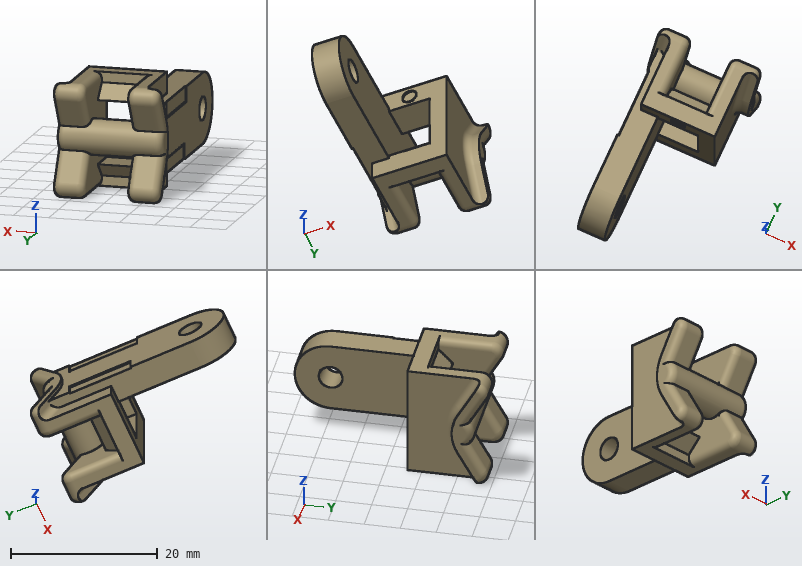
import cadquery as cq
import math


total_width = 15.0
total_length = 28.9
total_height = 16.0

body_width = 11.0
channel_width = 6.0
tip_y = 4.4
body_depth = 11.45
base_thickness = 2.5
window_height = 9.0
axle_diameter = 5.0

flange_slope = math.radians(30)
flange_thickness = 2.0
bend_radius = 6.0
tip_radius = 1.5
edge_radius = 1.0

arm_left = -7.0
arm_right = -channel_width / 2
arm_height = 10.0
arm_hole_diameter = 3.3
arm_root_radius = 0.5

recess_depth = 0.17
label_start = 5.87
label_height = 2.17
upper_label_length = 10.1
lower_label_length = 9.1
mark_diameter = 2.08
mark_z = 6.25

half_width = total_width / 2
half_height = total_height / 2
half_body = body_width / 2
half_channel = channel_width / 2
half_window = window_height / 2
axle_radius = axle_diameter / 2
body_rear = tip_y - body_depth
base_front = body_rear + base_thickness
half_arm = arm_height / 2
arm_hole_y = tip_y - total_length + half_arm
slope = math.tan(flange_slope)

corner_y = tip_y + tip_radius * (1 / slope - 1)
front_vertex_y = corner_y - half_height * slope
back_vertex_y = front_vertex_y - flange_thickness / math.cos(flange_slope)


def back_y(z):
    """Y of the straight back of the flange at height z."""
    return back_vertex_y + abs(z) * slope


def box(x_range, y_range, z_range):
    """Axis-aligned box between pairs of limits."""
    (x0, x1), (y0, y1), (z0, z1) = x_range, y_range, z_range
    return cq.Workplane("XY").box(x1 - x0, y1 - y0, z1 - z0, centered=False).translate((x0, y0, z0))


def axle_bar(x0, x1):
    """Cylinder on the axle line between two X positions."""
    return cq.Workplane("YZ").workplane(offset=x0).circle(axle_radius).extrude(x1 - x0)


def wall():
    """+X wall at full flange width: V front, rounded tips, axle boss and rounded rim."""
    thickness = half_width - half_channel
    outline = (
        cq.Workplane("YZ").workplane(offset=half_channel)
        .polyline([
            (base_front, -half_height), (corner_y, -half_height), (front_vertex_y, 0),
            (corner_y, half_height), (base_front, half_height),
        ])
        .close().extrude(thickness)
        .edges("|X and >Y").fillet(tip_radius)
    )
    solid = outline.union(axle_bar(half_channel, half_width))
    return solid.faces("<X or >X").edges("not(<Y)").fillet(edge_radius)


def side_relief():
    """Space beside the +X wall behind its flange; its rounded edge leaves the inner fillet."""
    reach = half_height + bend_radius
    behind = body_rear - edge_radius
    margin = 0.3
    block = (
        cq.Workplane("YZ").workplane(offset=half_body)
        .polyline([
            (behind, -reach), (back_y(reach), -reach), (back_vertex_y, 0),
            (back_y(reach), reach), (behind, reach),
        ])
        .close().extrude(half_width)
    )
    bend = cq.selectors.NearestToPointSelector((half_body + half_width / 2, back_vertex_y, 0))
    relief = block.edges(bend).fillet(bend_radius)
    inner_rim = cq.selectors.BoxSelector(
        (half_body - margin, back_vertex_y - bend_radius, margin - reach),
        (half_body + margin, back_y(reach), reach - margin),
    )
    return relief.edges(inner_rim).fillet(edge_radius)


def base():
    """Rear bar with a ridge along each long side of the window, cut through by the window."""
    ridge_y = -axle_radius
    ridge_depth = ridge_y - base_front
    ramp_z = half_window + ridge_depth
    bar = box((-half_body, half_body), (body_rear, base_front), (-half_height, half_height))
    ridge = (
        cq.Workplane("YZ").workplane(offset=-half_channel)
        .polyline([
            (base_front, -ramp_z), (ridge_y, -half_window),
            (ridge_y, half_window), (base_front, ramp_z),
        ])
        .close().extrude(channel_width)
    )
    window = box((-half_channel, half_channel), (body_rear, ridge_y), (-half_window, half_window))
    return bar.union(ridge).cut(window)


def arm():
    """Flat arm from inside the -X flange to a round, drilled end."""
    thickness = arm_right - arm_left
    plane = cq.Workplane("YZ").workplane(offset=arm_left)
    plate = (
        plane.moveTo(back_y(half_arm), half_arm)
        .lineTo(arm_hole_y, half_arm)
        .threePointArc((arm_hole_y - half_arm, 0), (arm_hole_y, -half_arm))
        .lineTo(back_y(half_arm), -half_arm)
        .lineTo(front_vertex_y, 0)
        .close().extrude(thickness)
    )
    hole = plane.center(arm_hole_y, 0).circle(arm_hole_diameter / 2).extrude(thickness)
    return plate.cut(hole)


def arm_root():
    """Small fillet where the upper long edge face of the arm meets the back of the flange."""
    corner = back_y(half_arm)
    corner_angle = math.pi / 2 + flange_slope
    tangent_length = arm_root_radius / math.tan(corner_angle / 2)
    flange_point = (
        corner + tangent_length * math.sin(flange_slope),
        half_arm + tangent_length * math.cos(flange_slope),
    )
    return (
        cq.Workplane("YZ").workplane(offset=arm_left)
        .moveTo(corner - tangent_length, half_arm)
        .radiusArc(flange_point, -arm_root_radius)
        .lineTo(corner, half_arm)
        .close().extrude(-half_body - arm_left)
    )


def label_recess(length, z_range):
    """Shallow rectangle in the outer face of the arm."""
    start_y = tip_y - label_start
    return box((arm_left, arm_left + recess_depth), (start_y - length, start_y), z_range)


def mark_recess():
    """Shallow round recess in the rear face of the base, above the window."""
    return (
        cq.Workplane("XZ").workplane(offset=-body_rear).center(0, mark_z)
        .circle(mark_diameter / 2).extrude(-recess_depth)
    )


right_side = wall().cut(side_relief())
upper_root = arm_root()

result = (
    right_side
    .union(right_side.mirror("YZ"))
    .union(base())
    .union(axle_bar(-half_body, half_body))
    .union(arm())
    .union(upper_root)
    .union(upper_root.mirror("XY"))
    .cut(label_recess(upper_label_length, (half_arm - label_height, half_arm)))
    .cut(label_recess(lower_label_length, (-half_arm, label_height - half_arm)))
    .cut(mark_recess())
)